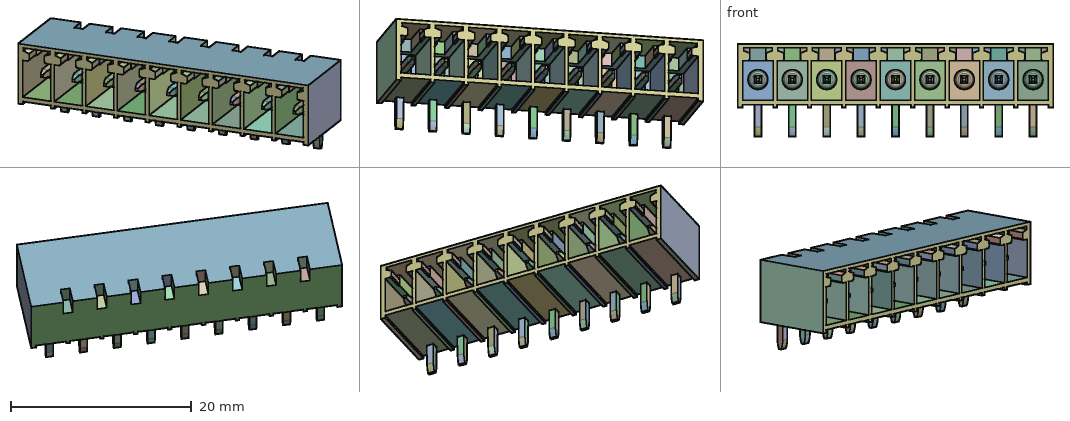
import cadquery as cq
import math

positions = 9
pitch = 3.81
first_x = -(positions - 1) * pitch / 2
contact_xs = [first_x + i * pitch for i in range(positions)]

length = 34.98
depth = 9.2
height = 7.07

divider = 0.43
cell_width = pitch - divider
cell_floor_z = 0.85
cell_top_z = 5.18
back_wall = 2.2
cell_depth = depth - back_wall

roof = 0.42
throat_width = 1.84
throat_chamfer = 0.15
wing_depth = 2.0
inner_slot_width = 1.78
inner_slot_depth = 6.0
slot_top_z = height - roof
wing_width = 3.18
wing_side_height = 0.34
wing_height = 0.6

foot_height = 0.32

notch_width = 1.05
notch_depth = 1.9
notch_height = 1.9

collar_base_radius = 1.1
collar_front_radius = 0.88
collar_length = 1.1
collar_rounding = 0.2

pin_size = 0.8
pin_axis_z = 3.11
pin_front_y = 1.45
leg_setback = 1.265
leg_axis_y = depth - leg_setback
overall_height = 10.27
leg_bottom_z = height - overall_height
tip_size = 0.32
tip_length = 1.1


def block(width, y_start, y_end, z_start, z_end, x_center=0):
    """Box centred on x_center, given by its limits along Y and Z."""
    size = (width, y_end - y_start, z_end - z_start)
    return cq.Workplane("XY").box(*size, centered=(True, False, False)).translate((x_center, y_start, z_start))


def make_key_slot(x):
    """Keying slot: throat with a flared lower edge, widening into wings under the roof."""
    half_throat = throat_width / 2
    half_wing = wing_width / 2
    half_flare = half_throat + throat_chamfer
    right_side = [
        (half_flare, cell_top_z),
        (half_throat, cell_top_z + throat_chamfer),
        (half_throat, slot_top_z - wing_height),
        (half_wing, slot_top_z - wing_side_height),
        (half_wing, slot_top_z),
    ]
    left_side = [(-px, pz) for px, pz in reversed(right_side)]
    outline = cq.Workplane("XZ").polyline(right_side + left_side).close()
    winged_mouth = outline.extrude(-wing_depth).translate((x, 0, 0))
    inner_slot = block(inner_slot_width, 0, inner_slot_depth, cell_top_z, slot_top_z, x)
    return winged_mouth.union(inner_slot)


def make_collar(x):
    """Cone on the back wall of a cell, narrowing toward a front face with a rounded rim."""
    cone = cq.Solid.makeCone(
        collar_base_radius,
        collar_front_radius,
        collar_length,
        pnt=cq.Vector(x, cell_depth, pin_axis_z),
        dir=cq.Vector(0, -1, 0),
    )
    return cq.Workplane(obj=cone).faces("<Y").edges().fillet(collar_rounding)


def make_tip():
    """Pin tip pointing down from the origin; its two Y flanks start upright and curve inward."""
    half = pin_size / 2
    half_end = tip_size / 2
    inset = half - half_end
    flank_radius = (tip_length**2 + inset**2) / (2 * inset)
    mid_z = -tip_length / 2
    mid_y = half - flank_radius + math.sqrt(flank_radius**2 - mid_z**2)
    return (
        cq.Workplane("YZ")
        .moveTo(-half, 0)
        .threePointArc((-mid_y, mid_z), (-half_end, -tip_length))
        .lineTo(half_end, -tip_length)
        .threePointArc((mid_y, mid_z), (half, 0))
        .close()
        .extrude(half, both=True)
    )


def make_pin(x):
    """Square pin: contact running along Y, bent down into a solder leg."""
    half = pin_size / 2
    half_end = tip_size / 2
    contact_start_y = pin_front_y + tip_length
    leg_end_z = leg_bottom_z + tip_length

    side_taper = (
        cq.Workplane("XY")
        .polyline([(-half, 0), (-half_end, -tip_length), (half_end, -tip_length), (half, 0)])
        .close()
        .extrude(half, both=True)
    )
    turned_tip = make_tip().rotate((0, 0, 0), (1, 0, 0), -90)
    contact_tip = turned_tip.intersect(side_taper).translate((0, contact_start_y, pin_axis_z))

    contact = block(pin_size, contact_start_y, leg_axis_y + half, pin_axis_z - half, pin_axis_z + half)
    leg = block(pin_size, leg_axis_y - half, leg_axis_y + half, leg_end_z, pin_axis_z + half)
    leg_tip = make_tip().translate((0, leg_axis_y, leg_end_z))
    return contact.union(contact_tip).union(leg).union(leg_tip).translate((x, 0, 0))


def make_housing(pins):
    """Shell with one cell per contact, fitted around the given pins."""
    shell = block(length, 0, depth, 0, height)
    for x in contact_xs:
        shell = shell.cut(block(cell_width, 0, cell_depth, cell_floor_z, cell_top_z, x))
        shell = shell.cut(make_key_slot(x))
        shell = shell.cut(block(cell_width, 0, depth, 0, foot_height, x))
        shell = shell.union(make_collar(x))
    for x in contact_xs[:-1]:
        notch_x = x + pitch / 2
        shell = shell.cut(block(notch_width, depth - notch_depth, depth, height - notch_height, height, notch_x))
    for pin in pins:
        shell = shell.cut(pin)
    return shell


pins = [make_pin(x) for x in contact_xs]
housing = make_housing(pins)

result = cq.Compound.makeCompound([housing.val(), *[pin.val() for pin in pins]])